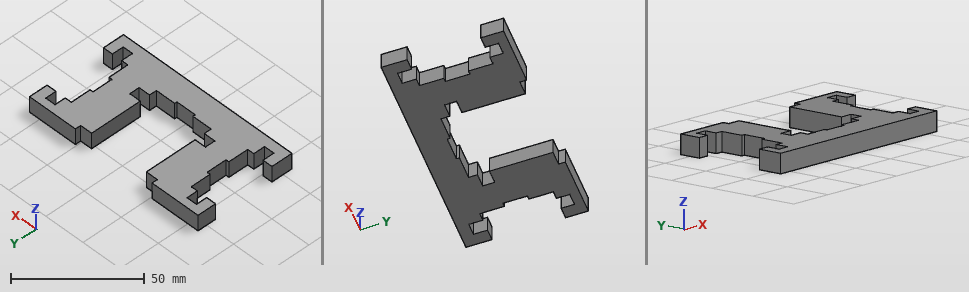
import cadquery as cq

length = 91.0
depth = 49.1
thickness = 8.0

bay_bottom = 10.5
bay_top = 39.95
bay_depth = 13.1
bay_center = (bay_bottom + bay_top) / 2
relief_width = (bay_top - bay_bottom) / 3
bay_relief_depth = 1.55

hook_width = 4.8
slot_width = 5.0
lower_slot_floor = 4.8
upper_slot_floor = 45.3

opening_width = 29.6
opening_floor = 12.6
floor_relief_depth = 1.2
mouth_width = 41.4
mouth_depth = 2.7

notch_span = 40.9
notch_bottom = 16.1
notch_top = 20.9


def block(x_min, x_max, y_min, y_max):
    """Full-thickness block between the given X and Y limits."""
    return cq.Workplane("XY").box(
        x_max - x_min, y_max - y_min, thickness, centered=False
    ).translate((x_min, y_min, 0))


def centered_block(width, y_min, y_max):
    """Full-thickness block symmetric about the YZ plane."""
    return block(-width / 2, width / 2, y_min, y_max)


def left_bay():
    """Left bay with its shallow relief and both hook slots."""
    left = -length / 2
    bay_wall = left + bay_depth
    slot_start = left + hook_width
    bay = block(left, bay_wall, bay_bottom, bay_top)
    relief = block(
        left,
        bay_wall + bay_relief_depth,
        bay_center - relief_width / 2,
        bay_center + relief_width / 2,
    )
    slots = block(slot_start, slot_start + slot_width, lower_slot_floor, upper_slot_floor)
    return bay.union(relief).union(slots)


def central_opening():
    """Stepped opening with a wide mouth, wall notches and a floor relief."""
    opening = centered_block(opening_width, opening_floor, depth)
    mouth = centered_block(mouth_width, depth - mouth_depth, depth)
    notches = centered_block(notch_span, notch_bottom, notch_top)
    relief = centered_block(relief_width, opening_floor - floor_relief_depth, depth)
    return opening.union(mouth).union(notches).union(relief)


plate = centered_block(length, 0, depth)
bay_cut = left_bay()
result = plate.cut(bay_cut).cut(bay_cut.mirror("YZ")).cut(central_opening())